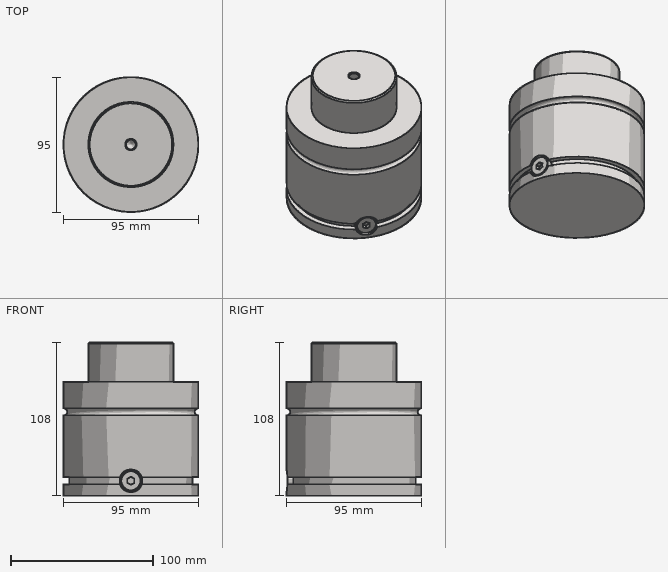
import cadquery as cq
import math

total_height = 108.0
body_diameter = 95.0
body_height = 80.1
rod_diameter = 60.0
rod_chamfer = 1.1

round_groove_z = 59.1
round_groove_radius = 2.4
round_groove_center_inset = 0.2

square_groove_bottom = 8.0
square_groove_height = 5.2
square_groove_diameter = 87.0

rod_hole_diameter = 6.8
rod_hole_chamfer = 0.6
rod_hole_depth = 13.0
drill_tip_angle = 118.0

plug_z = square_groove_bottom + square_groove_height / 2
recess_diameter = 16.0
recess_depth = 6.5
plug_diameter = 14.0
plug_inset = 0.8
plug_chamfer = 0.3
hex_across_flats = 5.0
hex_depth = 3.2

body_radius = body_diameter / 2


def make_body():
    body = cq.Workplane("XY").circle(body_radius).extrude(body_height)
    rod = cq.Workplane("XY").circle(rod_diameter / 2).extrude(total_height)
    return body.union(rod.faces(">Z").chamfer(rod_chamfer))


def round_groove_cutter():
    center_radius = body_radius - round_groove_center_inset
    bottom = round_groove_z - round_groove_radius
    top = round_groove_z + round_groove_radius
    return (
        cq.Workplane("XZ")
        .moveTo(body_radius + 1.1, bottom)
        .lineTo(center_radius, bottom)
        .threePointArc((center_radius - round_groove_radius, round_groove_z), (center_radius, top))
        .lineTo(body_radius + 1.1, top)
        .close()
        .revolve(360, (0, 0, 0), (0, 1, 0))
    )


def square_groove_cutter():
    return (
        cq.Workplane("XY", origin=(0, 0, square_groove_bottom))
        .circle(body_radius + 1.1)
        .circle(square_groove_diameter / 2)
        .extrude(square_groove_height)
    )


def rod_hole_cutter():
    radius = rod_hole_diameter / 2
    mouth_radius = radius + rod_hole_chamfer
    floor_z = total_height - rod_hole_depth
    tip_z = floor_z - radius / math.tan(math.radians(drill_tip_angle / 2))
    return (
        cq.Workplane("XZ")
        .moveTo(0, total_height)
        .lineTo(mouth_radius, total_height)
        .lineTo(radius, total_height - rod_hole_chamfer)
        .lineTo(radius, floor_z)
        .lineTo(0, tip_z)
        .close()
        .revolve(360, (0, 0, 0), (0, 1, 0))
    )


def side_plane(depth):
    """Plane facing -Y at the plug axis, sunk below the outermost body surface."""
    return cq.Workplane("XZ", origin=(0, depth - body_radius, plug_z))


def recess_cutter():
    return side_plane(recess_depth).circle(recess_diameter / 2).extrude(recess_depth + 1.1)


def make_plug():
    plug = side_plane(recess_depth).circle(plug_diameter / 2).extrude(recess_depth - plug_inset)
    plug = plug.faces("<Y").chamfer(plug_chamfer)
    hex_across_corners = hex_across_flats / math.cos(math.pi / 6)
    socket = (
        side_plane(plug_inset + hex_depth)
        .transformed(rotate=(0, 0, 90))
        .polygon(6, hex_across_corners)
        .extrude(hex_depth)
    )
    return plug.cut(socket)


result = (
    make_body()
    .cut(round_groove_cutter())
    .cut(square_groove_cutter())
    .cut(rod_hole_cutter())
    .cut(recess_cutter())
    .union(make_plug())
)